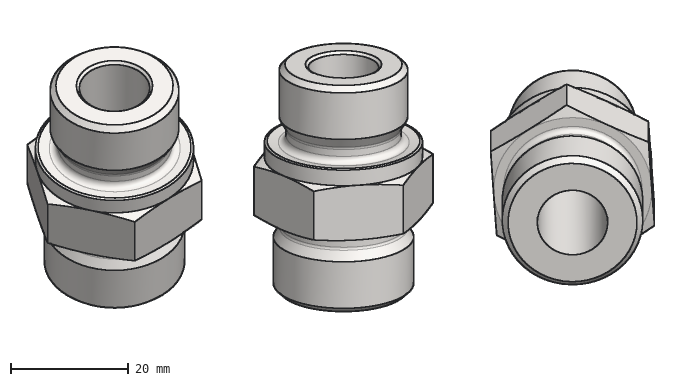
import cadquery as cq
import math

hex_sides = 6
hex_across_flats = 27.0
hex_bottom = 14.0
hex_height = 10.0
hex_chamfer_angle = 15.0
collar_height = 3.0
collar_bevel_width = 0.45
collar_bevel_drop = 0.15
collar_dish_angle = 6.0

total_height = 41.0
upper_diameter = 22.0
lower_diameter = 24.0
thread_length = 9.5
end_chamfer = 1.0
undercut_depth = 1.15
undercut_angle = 30.0
undercut_fillet = 1.0
lower_root_radius = 1.0
upper_root_radius = 1.2

bore_diameter = 12.0
bore_chamfer = 0.5

hex_top = hex_bottom + hex_height
collar_top = hex_top + collar_height
collar_radius = hex_across_flats / 2
half_sector = 180 / hex_sides
corner_radius = collar_radius / math.cos(math.radians(half_sector))
rim_radius = collar_radius - collar_bevel_width


def threaded_end(diameter, length, root_radius, shoulder_rim=0, shoulder_angle=0):
    """Plain thread cylinder with its undercut, its end face at z = length.

    It grows out of a shoulder that passes z = 0 at the radius shoulder_rim
    and falls towards the axis by shoulder_angle degrees.
    """
    radius = diameter / 2
    neck_radius = radius - undercut_depth
    cone_top = length - thread_length
    cone_bottom = cone_top - undercut_depth / math.tan(math.radians(undercut_angle))

    full_turn = math.radians(undercut_angle)
    half_turn = full_turn / 2
    tangent = undercut_fillet * math.tan(half_turn)
    blend_start = (neck_radius, cone_bottom - tangent)
    blend_middle = (
        neck_radius + undercut_fillet * (1 - math.cos(half_turn)),
        blend_start[1] + undercut_fillet * math.sin(half_turn),
    )
    blend_end = (
        neck_radius + tangent * math.sin(full_turn),
        cone_bottom + tangent * math.cos(full_turn),
    )

    slope = math.radians(shoulder_angle)
    arc_center = neck_radius + root_radius
    root_start_radius = arc_center + root_radius * math.sin(slope)
    root_start = (root_start_radius, (root_start_radius - shoulder_rim) * math.tan(slope))
    arc_height = root_start[1] + root_radius * math.cos(slope)
    sweep_middle = (math.pi / 2 - slope) / 2
    root_middle = (
        arc_center - root_radius * math.cos(sweep_middle),
        arc_height - root_radius * math.sin(sweep_middle),
    )
    root_end = (neck_radius, arc_height)

    return (
        cq.Workplane("XZ")
        .moveTo(0, -shoulder_rim * math.tan(slope))
        .lineTo(*root_start)
        .threePointArc(root_middle, root_end)
        .lineTo(*blend_start)
        .threePointArc(blend_middle, blend_end)
        .lineTo(radius, cone_top)
        .lineTo(radius, length - end_chamfer)
        .lineTo(radius - end_chamfer, length)
        .lineTo(0, length)
        .close()
        .revolve(360, (0, 0), (0, 1))
    )


def hexagon():
    """Hexagon with flats facing +X and -X, its corners bevelled by a cone at both ends."""
    prism = (
        cq.Workplane("XY", origin=(0, 0, hex_bottom))
        .polygon(hex_sides, 2 * corner_radius)
        .extrude(hex_height)
        .rotate((0, 0, 0), (0, 0, 1), half_sector)
    )
    reach = 2 * (corner_radius - collar_radius)
    drop = reach * math.tan(math.radians(hex_chamfer_angle))
    envelope = (
        cq.Workplane("XZ")
        .moveTo(0, hex_bottom)
        .lineTo(collar_radius, hex_bottom)
        .lineTo(collar_radius + reach, hex_bottom + drop)
        .lineTo(collar_radius + reach, hex_top - drop)
        .lineTo(collar_radius, hex_top)
        .lineTo(0, hex_top)
        .close()
        .revolve(360, (0, 0), (0, 1))
    )
    return prism.intersect(envelope)


def collar():
    """Round sealing collar on top of the hexagon, with a shallow bevel on its rim and a dished face."""
    dish_depth = rim_radius * math.tan(math.radians(collar_dish_angle))
    return (
        cq.Workplane("XZ")
        .moveTo(0, hex_top)
        .lineTo(collar_radius, hex_top)
        .lineTo(collar_radius, collar_top - collar_bevel_drop)
        .lineTo(rim_radius, collar_top)
        .lineTo(0, collar_top - dish_depth)
        .close()
        .revolve(360, (0, 0), (0, 1))
    )


def bore():
    """Through bore, countersunk at the upper end."""
    radius = bore_diameter / 2
    return (
        cq.Workplane("XZ")
        .lineTo(radius, 0)
        .lineTo(radius, total_height - bore_chamfer)
        .lineTo(radius + bore_chamfer, total_height)
        .lineTo(0, total_height)
        .close()
        .revolve(360, (0, 0), (0, 1))
    )


upper_end = threaded_end(
    upper_diameter,
    total_height - collar_top,
    upper_root_radius,
    rim_radius,
    collar_dish_angle,
).translate((0, 0, collar_top))
lower_end = (
    threaded_end(lower_diameter, hex_bottom, lower_root_radius)
    .rotate((0, 0, 0), (1, 0, 0), 180)
    .translate((0, 0, hex_bottom))
)

result = hexagon().union(collar()).union(upper_end).union(lower_end).cut(bore())